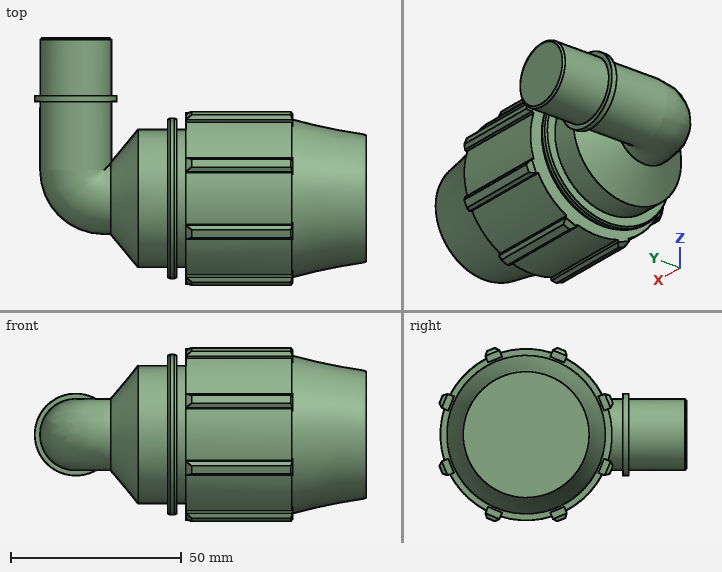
import cadquery as cq
import math

collar_radius = 12.0
collar_start = 28.3
collar_end = 30.1
pipe_radius = 10.5
pipe_x = collar_radius
pipe_end = 47.0
pipe_chamfer = 0.6

bend_radius = 8.3
bend_end_x = pipe_x + bend_radius

cone_start = 22.2
cone_end = 30.3
body_radius = 40.5 / 2
flange_radius = 23.5
flange_start = 38.9
flange_end = 41.6
flange_chamfer_length = 0.8
flange_chamfer_depth = 0.4

nut_start = 44.3
nut_end = 75.2
nut_radius = 25.1
taper_start_radius = 23.2
taper_middle_radius = 20.7
taper_end_radius = 18.8
total_length = 97.05
end_chamfer = 0.9
end_chamfer_depth = 0.4

rib_count = 8
rib_overhang = 0.3
rib_end = nut_end + rib_overhang
rib_base_width = 4.5
rib_top_width = 2.5
rib_top_radius = 27.0
rib_root_radius = 23.8
rib_shoulder_radius = 25.8
rib_front_slope = 1.65
rib_back_slope = 0.6


def make_pipe():
    """Straight outlet pipe with a chamfered mouth and a thin collar."""
    pipe = (
        cq.Workplane("XZ", origin=(pipe_x, bend_radius, 0))
        .circle(pipe_radius)
        .extrude(-(pipe_end - bend_radius))
        .faces(">Y")
        .chamfer(pipe_chamfer)
    )
    collar = (
        cq.Workplane("XZ", origin=(pipe_x, collar_start, 0))
        .circle(collar_radius)
        .extrude(-(collar_end - collar_start))
    )
    return pipe.union(collar)


def make_elbow():
    """Quarter bend; the round section is cut off flat at the bend axis."""
    half_chord = math.sqrt(pipe_radius**2 - bend_radius**2)
    return (
        cq.Workplane("XZ", origin=(bend_end_x, bend_radius, 0))
        .moveTo(0, -half_chord)
        .threePointArc((-bend_radius - pipe_radius, 0), (0, half_chord))
        .close()
        .revolve(90, (0, 0, 0), (0, 1, 0))
    )


def make_body():
    """Turned shape: neck, cone, body, flange, nut barrel and tapered end."""
    return (
        cq.Workplane("XY")
        .moveTo(bend_end_x, 0)
        .lineTo(bend_end_x, pipe_radius)
        .lineTo(cone_start, pipe_radius)
        .lineTo(cone_end, body_radius)
        .lineTo(flange_start, body_radius)
        .lineTo(flange_start, flange_radius - flange_chamfer_depth)
        .lineTo(flange_start + flange_chamfer_length, flange_radius)
        .lineTo(flange_end - flange_chamfer_length, flange_radius)
        .lineTo(flange_end, flange_radius - flange_chamfer_depth)
        .lineTo(flange_end, body_radius)
        .lineTo(nut_start, body_radius)
        .lineTo(nut_start, nut_radius)
        .lineTo(nut_end, nut_radius)
        .lineTo(nut_end, taper_start_radius)
        .threePointArc(
            ((nut_end + total_length - end_chamfer) / 2, taper_middle_radius),
            (total_length - end_chamfer, taper_end_radius),
        )
        .lineTo(total_length, taper_end_radius - end_chamfer_depth)
        .lineTo(total_length, 0)
        .close()
        .revolve(360, (0, 0, 0), (1, 0, 0))
    )


def make_rib():
    """One grip rib at the top of the nut, with sloped sides and ends."""
    section = (
        cq.Workplane("YZ", origin=(nut_start, 0, 0))
        .moveTo(-rib_base_width / 2, rib_root_radius)
        .lineTo(-rib_base_width / 2, rib_shoulder_radius)
        .lineTo(-rib_top_width / 2, rib_top_radius)
        .lineTo(rib_top_width / 2, rib_top_radius)
        .lineTo(rib_base_width / 2, rib_shoulder_radius)
        .lineTo(rib_base_width / 2, rib_root_radius)
        .close()
        .extrude(rib_end - nut_start)
    )
    side = (
        cq.Workplane("XZ")
        .moveTo(nut_start, rib_root_radius)
        .lineTo(nut_start, rib_shoulder_radius)
        .lineTo(nut_start + rib_front_slope, rib_top_radius)
        .lineTo(rib_end - rib_back_slope, rib_top_radius)
        .lineTo(rib_end, rib_shoulder_radius)
        .lineTo(rib_end, rib_root_radius)
        .close()
        .extrude(rib_base_width / 2, both=True)
    )
    return section.intersect(side)


result = make_body().union(make_elbow()).union(make_pipe())
rib = make_rib()
rib_pitch = 360 / rib_count
for index in range(rib_count):
    angle = (index + 0.5) * rib_pitch
    result = result.union(rib.rotate((0, 0, 0), (1, 0, 0), angle))